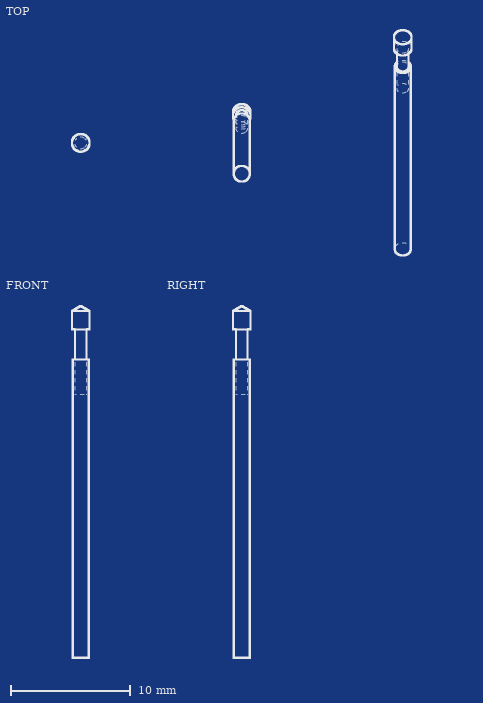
import cadquery as cq

total_length = 29.45
barrel_length = 24.98
barrel_diameter = 1.35
plunger_shaft_diameter = 1.0
head_diameter = 1.5
head_bottom = 27.5
tip_height = 0.45
bore_depth = 2.95

bore_floor = barrel_length - bore_depth
head_top = total_length - tip_height
shaft_radius = plunger_shaft_diameter / 2
head_radius = head_diameter / 2


def make_barrel():
    """Round barrel with a blind bore that holds the plunger shaft."""
    barrel = cq.Workplane("XY").circle(barrel_diameter / 2).extrude(barrel_length)
    bore = (
        cq.Workplane("XY")
        .workplane(offset=bore_floor)
        .circle(shaft_radius)
        .extrude(bore_depth)
    )
    return barrel.cut(bore)


def make_plunger():
    """Turned plunger: shaft, wider head and a conical contact tip."""
    profile = (
        cq.Workplane("XZ")
        .moveTo(0, bore_floor)
        .lineTo(shaft_radius, bore_floor)
        .lineTo(shaft_radius, head_bottom)
        .lineTo(head_radius, head_bottom)
        .lineTo(head_radius, head_top)
        .lineTo(0, total_length)
        .close()
    )
    return profile.revolve(360, (0, 0, 0), (0, 1, 0))


barrel = make_barrel()
plunger = make_plunger()

result = cq.Compound.makeCompound([barrel.val(), plunger.val()])